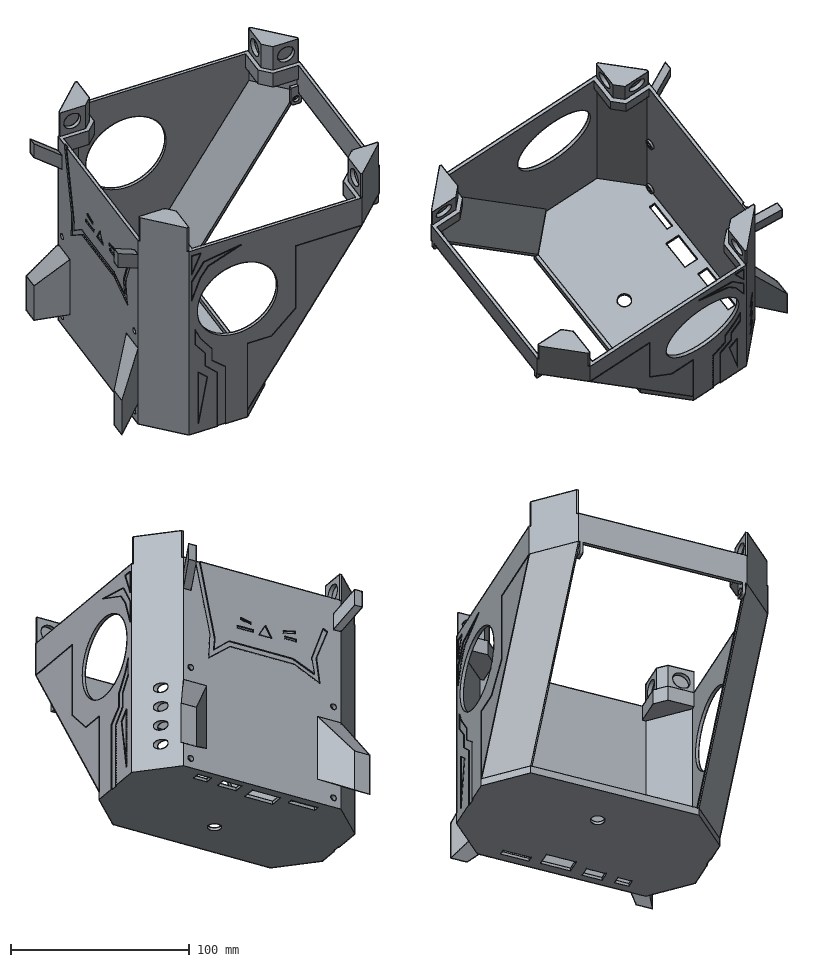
import cadquery as cq
import math

WIDTH = 144.0
DEPTH = 150.0
WALL = 2.0
FLOOR = 2.0
CHAMFER_FACE = 30.0
CORNER = CHAMFER_FACE / math.sqrt(2)
FOOT_DEPTH = 79.0
SLOPE_START_Z = 5.0
BAND_HEIGHT = 20.0
RIM_Z = 133.0
TOP_Z = 150.0

HALF_W = WIDTH / 2
HALF_D = DEPTH / 2
FRONT_Y = -HALF_D
REAR_Y = HALF_D
FOOT_REAR_Y = FRONT_Y + FOOT_DEPTH
SLOPE_END_Z = RIM_Z - BAND_HEIGHT
FACE_HALF_W = HALF_W - CORNER
INNER_TRIM = WALL * math.tan(math.pi / 8)
OPENING_HALF_W = FACE_HALF_W - INNER_TRIM

POST_CLEARANCE = 0.4
POST_SIDE_INSET = 0.8
POST_TRIM = 4.9
SOCKET_EDGE = 2.5
SOCKET_HEIGHT = 10.0
POST_HOLE_DIA = 10.5
POST_HOLE_DEPTH = 2.5

PRONG_REACH = 15.0
LEG_ROOT = (35.8, FACE_HALF_W, 15.0, 55.0)
LEG_TIP = (51.0, 60.8, 5.0, 30.0)
EAR_ROOT = (45.8, FACE_HALF_W, SLOPE_END_Z, 123.0)
EAR_TIP = (51.0, 56.0, 123.0, RIM_Z)

SIDE_HOLE_DIA = 50.0
SIDE_HOLE_Y = -23.5
SIDE_HOLE_Z = 88.0
FLOOR_HOLE_DIA = 8.0
FLOOR_HOLE_Y = -21.5
VENT_DIA = 6.0
VENT_Y = -65.7
VENT_Z = 15.6
VENT_PITCH = 12.0
VENT_COUNT = 4
SCREW_DIA = 3.5
SCREW_X = 46.0
SCREW_LOW_Z = 6.0
SCREW_HIGH_Z = 64.0
STANDOFF_DIA = 6.0
STANDOFF_HEIGHT = 1.5

FLOOR_SLOTS = (
    (-38.6, -30.0, -70.2, -65.2),
    (-22.7, -10.7, -70.8, -64.4),
    (-3.2, 14.9, -69.6, -60.9),
    (21.7, 38.7, -70.2, -66.6),
)

TAB_THICKNESS = 2.0
TAB_OUTER_X = 50.0
TAB_FRONT_Y = 68.5
TAB_LOW_Z = 105.3
TAB_TOP_Z = 118.0
TAB_ROUND = 1.5
TAB_HOLE_DIA = 4.0
TAB_HOLE_Y = 71.5
TAB_HOLE_Z = 109.2
TAB_PIN_DEPTH = 1.0

FRONT_GROOVE = 0.8
SIDE_GROOVE = 0.5
PANEL_RECESS = 0.3
CAT_OUTLINE = (
    (-43.1, RIM_Z), (-33.7, 88.6), (-34.4, 73.3), (-20.7, 84.2),
    (20.6, 84.2), (37.3, 76.5), (35.1, 92.1), (42.2, 110.6),
    (39.5, 112.1), (32.0, 91.0), (33.8, 81.6), (20.0, 87.6),
    (-21.2, 87.6), (-31.0, 79.4), (-30.3, 86.5), (-40.0, RIM_Z),
)
CAT_NOSE = ((-1.9, 96.8), (6.3, 96.8), (2.2, 103.9))
CAT_EYES = (
    ((-16.0, 97.4), (-5.7, 97.4), (-5.7, 98.9), (-16.0, 98.9)),
    ((-13.9, 104.6), (-7.1, 103.2), (-7.1, 102.0), (-13.9, 103.4)),
    ((14.7, 98.9), (22.2, 98.9), (22.2, 100.4), (14.7, 100.4)),
    ((13.6, 102.0), (21.4, 103.9), (21.3, 105.3), (13.6, 103.6)),
)
SIDE_DECOR = (
    ((-21.2, 126.1), (-44.3, 122.1), (-51.9, 110.1), (-51.9, 96.8), (-46.5, 111.3), (-41.6, 118.1)),
    ((-46.2, 129.0), (-51.9, 129.0), (-51.9, 115.6)),
    ((-30.9, 0), (-30.9, 41.3), (-39.3, 48.8), (-39.3, 57.3), (-46.2, 66.9), (-49.8, 74.7),
     (-49.8, 64.2), (-43.5, 55.6), (-43.5, 46.5), (-35.9, 38.8), (-35.9, 0)),
    ((-42.2, 37.9), (-47.7, 43.2), (-47.7, 6.3)),
)
SIDE_PANEL = (
    (REAR_Y - CORNER, SLOPE_END_Z), (12.8, SLOPE_END_Z), (12.8, 68.0), (-2.3, 53.2),
    (FOOT_REAR_Y - CORNER, 53.2), (FOOT_REAR_Y - CORNER, SLOPE_START_Z),
)


def octagon(z, rear_y, inset):
    """Chamfered rectangle at height z, moved inward by inset on every side."""
    x = HALF_W - inset
    rear = rear_y - inset
    front = FRONT_Y + inset
    cut = CORNER - 2 * inset + inset * math.sqrt(2)
    points = [
        (-x, front + cut), (-x + cut, front), (x - cut, front), (x, front + cut),
        (x, rear - cut), (x - cut, rear), (-x + cut, rear), (-x, rear - cut),
    ]
    return cq.Wire.makePolygon([cq.Vector(px, py, z) for px, py in points], close=True)


def tower(bottom_z, top_z, inset):
    """Upright octagonal base and band joined by a stretch whose back leans outward."""
    levels = [(bottom_z, FOOT_REAR_Y), (SLOPE_START_Z, FOOT_REAR_Y), (SLOPE_END_Z, REAR_Y), (top_z, REAR_Y)]
    solids = []
    for (z0, y0), (z1, y1) in zip(levels, levels[1:]):
        solids.append(cq.Solid.makeLoft([octagon(z0, y0, inset), octagon(z1, y1, inset)], True))
    body = cq.Workplane(solids[0])
    for solid in solids[1:]:
        body = body.union(cq.Workplane(solid))
    return body


def block(x0, x1, y0, y1, z0, z1):
    return cq.Workplane("XY").box(x1 - x0, y1 - y0, z1 - z0, centered=False).translate((x0, y0, z0))


def cylinder_x(x0, length, y, z, dia):
    return cq.Workplane("YZ", origin=(x0, 0, 0)).center(y, z).circle(dia / 2).extrude(length)


def cylinder_y(y0, length, x, z, dia):
    return cq.Workplane("XZ", origin=(0, y0, 0)).center(x, z).circle(dia / 2).extrude(-length)


def mirrored_x(shape):
    return shape.union(shape.mirror("YZ"))


def four_corners(shape):
    pair = mirrored_x(shape)
    return pair.union(pair.mirror("XZ"))


def shell():
    """Open-topped shell whose leaning back face is left open between the corner faces."""
    hollow = tower(FLOOR, RIM_Z, WALL)
    opening = (
        cq.Workplane("YZ")
        .polyline([
            (FOOT_REAR_Y - 2 * WALL, SLOPE_START_Z), (REAR_Y, SLOPE_START_Z),
            (REAR_Y, SLOPE_END_Z), (REAR_Y - 2 * WALL, SLOPE_END_Z),
        ])
        .close()
        .extrude(OPENING_HALF_W, both=True)
    )
    return tower(0, RIM_Z, 0).cut(hollow).cut(opening)


def corner_socket():
    """Back right socket, closing off the corner just below the rim."""
    x = FACE_HALF_W - POST_CLEARANCE - SOCKET_EDGE
    y = REAR_Y - CORNER - POST_CLEARANCE - SOCKET_EDGE
    trim = POST_TRIM + SOCKET_EDGE * (2 - math.sqrt(2))
    return (
        cq.Workplane("XY", origin=(0, 0, RIM_Z - SOCKET_HEIGHT))
        .polyline([
            (x + trim, y), (HALF_W, y), (HALF_W, REAR_Y - CORNER), (FACE_HALF_W, REAR_Y),
            (x, REAR_Y), (x, y + trim),
        ])
        .close()
        .extrude(SOCKET_HEIGHT)
    )


def corner_post():
    """Back right post, flush with the corner face, with a trimmed inner corner and two magnet pockets."""
    x = FACE_HALF_W - POST_CLEARANCE
    y = REAR_Y - CORNER - POST_CLEARANCE
    outer_x = HALF_W - POST_SIDE_INSET
    outer_y = REAR_Y - POST_SIDE_INSET
    height = TOP_Z - RIM_Z
    post = (
        cq.Workplane("XY", origin=(0, 0, RIM_Z))
        .polyline([
            (x + POST_TRIM, y), (outer_x, y), (outer_x, REAR_Y - CORNER + POST_SIDE_INSET),
            (FACE_HALF_W + POST_SIDE_INSET, outer_y), (x, outer_y), (x, y + POST_TRIM),
        ])
        .close()
        .extrude(height)
    )
    middle = (POST_TRIM + CORNER) / 2
    z = RIM_Z + height / 2
    post = post.cut(cylinder_x(x, POST_HOLE_DEPTH, y + middle, z, POST_HOLE_DIA))
    return post.cut(cylinder_y(y, POST_HOLE_DEPTH, x + middle, z, POST_HOLE_DIA))


def front_prong(root, tip):
    """Pair of prongs on the front wall, ruled from the root section to the tip section."""
    wires = []
    for y, (x0, x1, z0, z1) in ((FRONT_Y, root), (FRONT_Y - PRONG_REACH, tip)):
        corners = [(x0, z0), (x1, z0), (x1, z1), (x0, z1)]
        wires.append(cq.Wire.makePolygon([cq.Vector(x, y, z) for x, z in corners], close=True))
    return mirrored_x(cq.Workplane(cq.Solid.makeLoft(wires, True)))


def hinge_tabs():
    """Pair of tabs on one pin axis: drilled through on the left, blind from the inside on the right."""
    tab = block(TAB_OUTER_X - TAB_THICKNESS, TAB_OUTER_X, TAB_FRONT_Y, REAR_Y, TAB_LOW_Z, TAB_TOP_Z)
    tabs = mirrored_x(tab.edges("|X and <Z").fillet(TAB_ROUND))
    pin_end_x = TAB_OUTER_X - TAB_THICKNESS + TAB_PIN_DEPTH
    return tabs.cut(cylinder_x(-TAB_OUTER_X, TAB_OUTER_X + pin_end_x, TAB_HOLE_Y, TAB_HOLE_Z, TAB_HOLE_DIA))


def front_engraving(points):
    """Cutter for an outline in the front wall; points are (X, Z)."""
    return cq.Workplane("XZ", origin=(0, FRONT_Y, 0)).polyline(points).close().extrude(-FRONT_GROOVE)


def side_engraving(points, depth):
    """Cutters for the same outline in both side walls; points are (Y, Z)."""
    cutter = cq.Workplane("YZ", origin=(HALF_W - depth, 0, 0)).polyline(points).close().extrude(depth)
    return mirrored_x(cutter)


def with_screw_standoffs(body):
    places = [(x, z) for x in (-SCREW_X, SCREW_X) for z in (SCREW_LOW_Z, SCREW_HIGH_Z)]
    for x, z in places:
        body = body.union(cylinder_y(FRONT_Y + WALL, STANDOFF_HEIGHT, x, z, STANDOFF_DIA))
        body = body.cut(cylinder_y(FRONT_Y, WALL + STANDOFF_HEIGHT, x, z, SCREW_DIA))
    return body


def with_wall_holes(body):
    """Large hole through both sides and a column of vents in the front left corner face."""
    body = body.cut(cylinder_x(-HALF_W, WIDTH, SIDE_HOLE_Y, SIDE_HOLE_Z, SIDE_HOLE_DIA))
    for i in range(VENT_COUNT):
        body = body.cut(cylinder_x(-HALF_W, CORNER, VENT_Y, VENT_Z + i * VENT_PITCH, VENT_DIA))
    return body


def with_floor_openings(body):
    body = body.cut(cq.Workplane("XY").center(0, FLOOR_HOLE_Y).circle(FLOOR_HOLE_DIA / 2).extrude(FLOOR))
    for x0, x1, y0, y1 in FLOOR_SLOTS:
        body = body.cut(block(x0, x1, y0, y1, 0, FLOOR))
    return body


def with_decoration(body):
    for outline in (CAT_OUTLINE, CAT_NOSE) + CAT_EYES:
        body = body.cut(front_engraving(outline))
    body = body.cut(side_engraving(SIDE_PANEL, PANEL_RECESS))
    for outline in SIDE_DECOR:
        body = body.cut(side_engraving(outline, SIDE_GROOVE))
    return body


result = shell()
result = result.union(four_corners(corner_socket())).union(four_corners(corner_post()))
result = result.union(front_prong(LEG_ROOT, LEG_TIP))
result = result.union(front_prong(EAR_ROOT, EAR_TIP))
result = result.union(hinge_tabs())
result = with_screw_standoffs(result)
result = with_wall_holes(result)
result = with_floor_openings(result)
result = with_decoration(result)